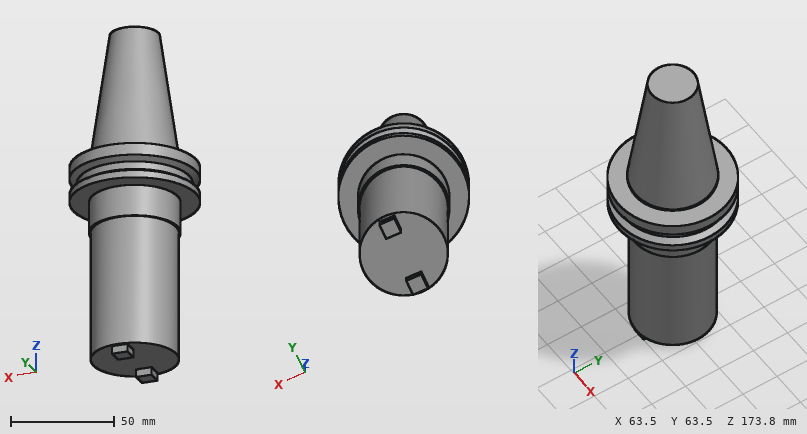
import cadquery as cq
import math

OVERALL_LENGTH = 173.82

GAUGE_RADIUS = 44.45 / 2
TAPER_LENGTH = 68.25
TAPER_RATE = 7 / 24
TAPER_TIP_RADIUS = GAUGE_RADIUS - TAPER_LENGTH * TAPER_RATE / 2

NECK_RADIUS = 21.9
NECK_LENGTH = 1.0

FLANGE_RADIUS = 63.5 / 2
FLANGE_TOP = -NECK_LENGTH
FLANGE_BOTTOM = -19.05
GROOVE_RADIUS = 56.4 / 2
GROOVE_FLOOR_WIDTH = 4.0
GROOVE_CENTER = -11.18
GROOVE_FLANK_ANGLE = 30

HUB_RADIUS = GAUGE_RADIUS
HUB_BOTTOM = -35.0
BODY_RADIUS = 42.9 / 2
BODY_BOTTOM = -101.6

KEY_WIDTH = 8.0
KEY_INNER_REACH = 11.8
KEY_OUTER_REACH = 19.8
KEY_HEIGHT = OVERALL_LENGTH - TAPER_LENGTH + BODY_BOTTOM


def make_holder():
    """Revolve the taper, flange, hub and body from their half profile."""
    groove_floor_half = GROOVE_FLOOR_WIDTH / 2
    flank_rise = (FLANGE_RADIUS - GROOVE_RADIUS) * math.tan(math.radians(GROOVE_FLANK_ANGLE))
    groove_mouth_half = groove_floor_half + flank_rise
    profile = [
        (0, TAPER_LENGTH),
        (TAPER_TIP_RADIUS, TAPER_LENGTH),
        (GAUGE_RADIUS, 0),
        (NECK_RADIUS, 0),
        (NECK_RADIUS, FLANGE_TOP),
        (FLANGE_RADIUS, FLANGE_TOP),
        (FLANGE_RADIUS, GROOVE_CENTER + groove_mouth_half),
        (GROOVE_RADIUS, GROOVE_CENTER + groove_floor_half),
        (GROOVE_RADIUS, GROOVE_CENTER - groove_floor_half),
        (FLANGE_RADIUS, GROOVE_CENTER - groove_mouth_half),
        (FLANGE_RADIUS, FLANGE_BOTTOM),
        (HUB_RADIUS, FLANGE_BOTTOM),
        (HUB_RADIUS, HUB_BOTTOM),
        (BODY_RADIUS, HUB_BOTTOM),
        (BODY_RADIUS, BODY_BOTTOM),
        (0, BODY_BOTTOM),
    ]
    half_section = cq.Workplane("XZ").polyline(profile).close()
    return half_section.revolve(360, (0, 0, 0), (0, 1, 0))


def make_keys():
    """Two rectangular keys, opposite each other along Y, hanging below the body."""
    key_length = KEY_OUTER_REACH - KEY_INNER_REACH
    key_center = (KEY_OUTER_REACH + KEY_INNER_REACH) / 2
    return (
        cq.Workplane("XY")
        .workplane(offset=BODY_BOTTOM)
        .pushPoints([(0, key_center), (0, -key_center)])
        .rect(KEY_WIDTH, key_length)
        .extrude(-KEY_HEIGHT)
    )


result = make_holder().union(make_keys())